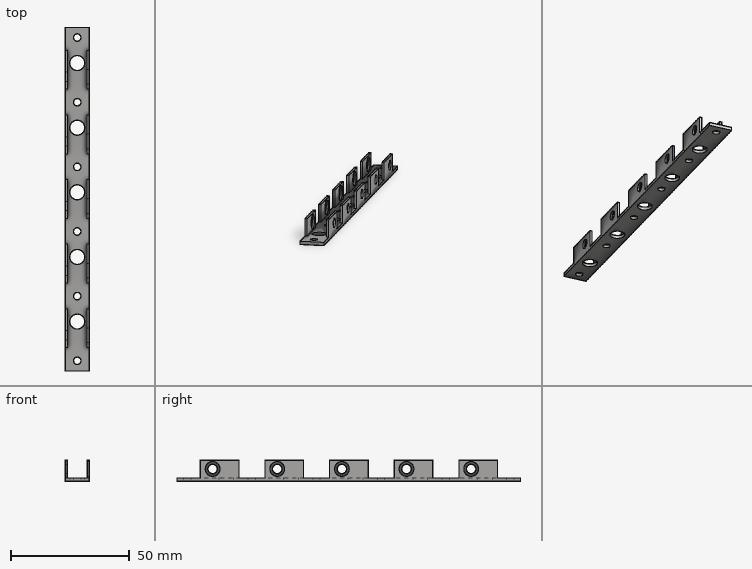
import cadquery as cq

length = 145.0
width = 10.3
height = 9.0
base_thickness = 1.5
tab_thickness = 1.0

station_count = 5
pitch = 27.3
tab_length = 16.4
tab_start = 9.7

screw_hole_diameter = 3.0
screw_hole_margin = (length - station_count * pitch) / 2
access_hole_diameter = 6.2
access_hole_distance = 15.1

near_hole_diameter = 3.9
far_hole_diameter = 6.2
tab_hole_distance = 20.9
tab_hole_height = 5.2


def positions(first_distance, count):
    """Y positions of a row that starts at a distance from the +Y end."""
    return [length / 2 - first_distance - i * pitch for i in range(count)]


def base_holes(diameter, y_positions):
    return (
        cq.Workplane("XY")
        .pushPoints([(0, y) for y in y_positions])
        .circle(diameter / 2)
        .extrude(base_thickness)
    )


def tab_row(side, hole_diameter):
    """Upright drilled tabs along one edge; side is -1 for -X and +1 for +X."""
    tab_x = side * (width - tab_thickness) / 2
    tab_centers = positions(tab_start + tab_length / 2, station_count)
    hole_centers = positions(tab_hole_distance, station_count)
    tabs = (
        cq.Workplane("XY")
        .pushPoints([(tab_x, y) for y in tab_centers])
        .rect(tab_thickness, tab_length)
        .extrude(height)
    )
    holes = (
        cq.Workplane("YZ", origin=(tab_x, 0, 0))
        .pushPoints([(y, tab_hole_height) for y in hole_centers])
        .circle(hole_diameter / 2)
        .extrude(tab_thickness, both=True)
    )
    return tabs.cut(holes)


base = cq.Workplane("XY").box(width, length, base_thickness, centered=(True, True, False))
base = base.cut(base_holes(screw_hole_diameter, positions(screw_hole_margin, station_count + 1)))
base = base.cut(base_holes(access_hole_diameter, positions(access_hole_distance, station_count)))

result = base.union(tab_row(-1, near_hole_diameter)).union(tab_row(1, far_hole_diameter))